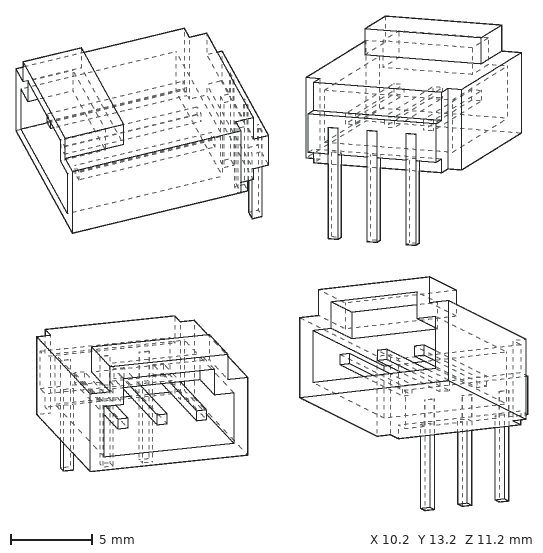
import cadquery as cq

body_width = 10.16
body_height = 5.08
shoulder_length = 11.03
body_length = 12.17
wall = 0.87

key_width = 7.6
key_height = 1.64
key_length = 3.82

cavity_width = body_width - 2 * 0.9
cavity_height = 3.3
cavity_depth = shoulder_length - wall
cavity_top = wall + cavity_height
key_slot_width = key_width - 2 * wall
key_slot_top = body_height + key_height - wall
key_slot_depth = key_length - wall

overall_length = 13.23
ledge_bottom = wall
ledge_height = 2.43
ledge_back = overall_length - 0.05

pin_count = 3
pin_pitch = 2.54
pin_size = 0.65
pin_centre_z = 2.46
pin_tip_recess = 1.25
contact_shift = -0.05
leg_length = 4.46
leg_top = 2.55


def block(width, front, back, bottom, top, centre_x=0.0):
    """Box centred on centre_x between the given Y and Z limits."""
    return (
        cq.Workplane("XY")
        .box(width, back - front, top - bottom, centered=(True, False, False))
        .translate((centre_x, front, bottom))
    )


def housing():
    shell = block(body_width, 0, shoulder_length, 0, body_height)
    shell = shell.union(block(cavity_width, 0, body_length, 0, body_height))
    shell = shell.union(block(key_width, 0, key_length, 0, body_height + key_height))
    ledge_top = ledge_bottom + ledge_height
    shell = shell.union(block(cavity_width, cavity_depth, ledge_back, ledge_bottom, ledge_top))
    shell = shell.cut(block(cavity_width, 0, cavity_depth, wall, cavity_top))
    return shell.cut(block(key_slot_width, 0, key_slot_depth, wall, key_slot_top))


def terminal(centre_x):
    leg_front = overall_length - pin_size
    leg = block(pin_size, leg_front, overall_length, -leg_length, leg_top, centre_x)
    contact = block(
        pin_size,
        pin_tip_recess,
        leg_front,
        pin_centre_z - pin_size / 2,
        pin_centre_z + pin_size / 2,
        centre_x + contact_shift,
    )
    return leg.union(contact)


result = housing()
for index in range(pin_count):
    result = result.union(terminal((index - (pin_count - 1) / 2) * pin_pitch))